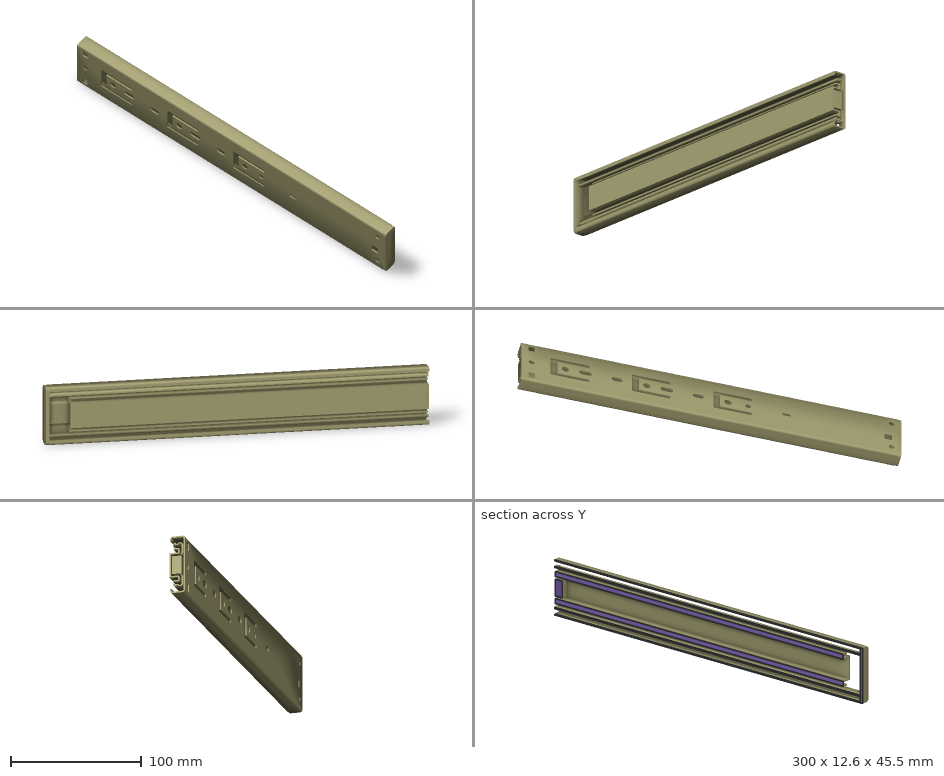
import cadquery as cq


slide_length = 300.0
slide_height = 45.5
front_y = -6.3
inner_back_y = 6.3

outer_back_y = 5.5
cap_thickness = 2.7
cap_corner_radius = 2.5
outer_length = slide_length - cap_thickness
outer_sheet = 1.2
outer_bend_radius = 1.8
outer_lip_z = 19.2

rail_gap = 0.3
middle_sheet = 1.05
middle_height = 35.5
middle_front_y = front_y + outer_sheet + rail_gap
middle_back_y = 3.3
middle_bend_radius = 2.25
middle_lip_z = 15.0
joggle_depth = 1.2
joggle_inner_z = 7.8
joggle_outer_z = 9.5
ball_groove_radius = 1.05
notch_end_x = 8.0

inner_start_x = 0.5
inner_end_x = 281.0
inner_sheet = 1.2
inner_web_z = 10.0
inner_foot_y = -1.8
inner_flange_z = 13.5
inner_flange_back_y = 3.0
inner_bend_radius = 1.0
block_height = 14.5
block_front_y = -3.3
block_back_y = 4.2

tab_pitch = 64.2
tab_count = 3
tab_start_x = 23.0
tab_end_x = 53.7
tab_half_height = 7.2
tab_gap_end = 5.5
tab_gap_side = 3.0
tab_corner_radius = 1.35
tab_hole_x = 34.8
tab_hole_diameter = 5.7
small_hole_diameter = 4.5
tab_slot_x = 50.7
tab_slot_length = 10.0
tab_slot_count = 2
tab_end_hole_x = 179.0
link_slot_x = 75.5
link_slot_length = 8.5
end_hole_x = 8.0
window_length = 4.5
window_height = 6.0
window_z = 16.5
mark_x = 209.5
mark_length = 6.3
mark_height = 2.7
mark_z = -1.0
square_x = 289.5
square_side = 6.0
square_z = -2.7
cap_hole_x = 292.2
cap_hole_z = 14.5


def block(x0, x1, y0, y1, z0, z1):
    """Box between two corners."""
    return cq.Workplane("XY").box(x1 - x0, y1 - y0, z1 - z0, centered=False).translate((x0, y0, z0))


def rounded_bar(x0, x1, y0, y1, height, radius):
    """Bar along X, centred on Z = 0, with its four long edges rounded."""
    bar = block(x0, x1, y0, y1, -height / 2, height / 2)
    return bar.edges("|X").fillet(radius)


def lipped_channel(length, y0, y1, height, sheet, radius, lip_z):
    """Bent-sheet channel with its web at y0 and lips at y1 that reach in to +-lip_z."""
    outside = rounded_bar(0, length, y0, y1, height, radius)
    inside = rounded_bar(0, length, y0 + sheet, y1 - sheet, height - 2 * sheet, radius - sheet)
    mouth = block(0, length, y1 - sheet, y1, -lip_z, lip_z)
    return outside.cut(inside).cut(mouth)


def web_plane(x, z):
    """Sketch plane on the front face of the outer web; its normal points out to -Y."""
    return cq.Workplane("XZ", origin=(0, front_y, 0)).center(x, z)


def tab_cutter(start_x):
    """U-shaped gap that leaves a tab joined to the web at its +X end."""
    length = tab_end_x - tab_start_x
    outer_half_height = tab_half_height + tab_gap_side
    middle_x = start_x + length / 2
    frame = web_plane(middle_x, 0).rect(length, 2 * outer_half_height).extrude(-outer_sheet)
    tab = web_plane(middle_x + tab_gap_end, 0).rect(length, 2 * tab_half_height).extrude(-outer_sheet)
    gap = frame.cut(tab)
    gap = gap.edges("|Y and <X").fillet(tab_corner_radius)
    return gap.edges("|Y and >X").fillet(tab_corner_radius)


def round_cutter(x, z, diameter):
    """Round hole through the outer web."""
    return web_plane(x, z).circle(diameter / 2).extrude(-outer_sheet)


def slot_cutter(x, length):
    """Round-ended slot through the outer web, along X."""
    return web_plane(x, 0).slot2D(length, small_hole_diameter).extrude(-outer_sheet)


def rectangle_cutter(x, z, length, height):
    """Rectangular hole through the outer web."""
    return web_plane(x, z).rect(length, height).extrude(-outer_sheet)


def make_outer_rail():
    """Lipped channel with the mounting tabs, slots and holes cut through its web."""
    rail = lipped_channel(
        outer_length, front_y, outer_back_y, slide_height, outer_sheet, outer_bend_radius, outer_lip_z
    )
    cutters = [
        round_cutter(end_hole_x, 0, small_hole_diameter),
        round_cutter(tab_end_hole_x, 0, small_hole_diameter),
        rectangle_cutter(mark_x, mark_z, mark_length, mark_height),
        rectangle_cutter(square_x, square_z, square_side, square_side),
    ]
    for i in range(tab_count):
        cutters.append(tab_cutter(tab_start_x + i * tab_pitch))
        cutters.append(round_cutter(tab_hole_x + i * tab_pitch, 0, tab_hole_diameter))
    for i in range(tab_slot_count):
        cutters.append(slot_cutter(tab_slot_x + i * tab_pitch, tab_slot_length))
        cutters.append(slot_cutter(link_slot_x + i * tab_pitch, link_slot_length))
    for side in (-1, 1):
        cutters.append(rectangle_cutter(end_hole_x, side * window_z, window_length, window_height))
        cutters.append(round_cutter(cap_hole_x, side * cap_hole_z, small_hole_diameter))
    for cutter in cutters:
        rail = rail.cut(cutter)
    return rail


def make_end_cap():
    """Plate that closes the +X end of the outer rail."""
    return rounded_bar(
        outer_length, slide_length, front_y, outer_back_y, slide_height, cap_corner_radius
    )


def joggled_web():
    """Middle part of the web, stepped back from the outer rail."""
    front = middle_front_y
    back = front + middle_sheet
    step = joggle_depth
    outline = [
        (front, -joggle_outer_z),
        (front + step, -joggle_inner_z),
        (front + step, joggle_inner_z),
        (front, joggle_outer_z),
        (back, joggle_outer_z),
        (back + step, joggle_inner_z),
        (back + step, -joggle_inner_z),
        (back, -joggle_outer_z),
    ]
    return cq.Workplane("YZ").polyline(outline).close().extrude(outer_length)


def make_middle_rail():
    """Smaller lipped channel with a stepped web and a ball groove in each flange."""
    rail = lipped_channel(
        outer_length, middle_front_y, middle_back_y, middle_height,
        middle_sheet, middle_bend_radius, middle_lip_z,
    )
    flat_web = block(
        0, outer_length, middle_front_y, middle_front_y + middle_sheet, -joggle_outer_z, joggle_outer_z
    )
    rail = rail.cut(flat_web).union(joggled_web())
    envelope = rounded_bar(
        0, outer_length, middle_front_y, middle_back_y, middle_height, middle_bend_radius
    )
    for side in (-1, 1):
        flange = cq.Workplane("YZ").center(0, side * middle_height / 2)
        bulge = flange.circle(ball_groove_radius + middle_sheet).extrude(outer_length)
        groove = flange.circle(ball_groove_radius).extrude(outer_length)
        rail = rail.union(bulge.intersect(envelope)).cut(groove)
    web_back_y = middle_front_y + joggle_depth + middle_sheet
    notch = block(0, notch_end_x, middle_front_y, web_back_y, -joggle_inner_z, joggle_inner_z)
    return rail.cut(notch)


def make_inner_rail():
    """Hat section: a web at the back, legs towards the front and flanges folded back."""
    leg_z = inner_web_z - inner_sheet
    foot_back_y = inner_foot_y + inner_sheet
    flange_in_z = inner_flange_z - inner_sheet
    web_in_y = inner_back_y - inner_sheet
    upper_half = [
        (inner_back_y, inner_web_z),
        (foot_back_y, inner_web_z),
        (foot_back_y, flange_in_z),
        (inner_flange_back_y, flange_in_z),
        (inner_flange_back_y, inner_flange_z),
        (inner_foot_y, inner_flange_z),
        (inner_foot_y, leg_z),
        (web_in_y, leg_z),
    ]
    lower_half = [(y, -z) for y, z in reversed(upper_half)]
    profile = cq.Workplane("YZ", origin=(inner_start_x, 0, 0)).polyline(upper_half + lower_half).close()
    rail = profile.extrude(inner_end_x - inner_start_x)
    fold_edges = cq.selectors.BoxSelector(
        (0, inner_foot_y - inner_bend_radius, -slide_height),
        (slide_length, inner_foot_y + inner_bend_radius, slide_height),
    )
    return rail.edges("|X").edges(fold_edges).fillet(inner_bend_radius)


def make_stop_block():
    """Stop inside the inner rail, resting against the notch of the middle rail."""
    return block(
        inner_start_x, notch_end_x, block_front_y, block_back_y, -block_height / 2, block_height / 2
    )


outer_rail = make_outer_rail()
end_cap = make_end_cap()
middle_rail = make_middle_rail()
inner_rail = make_inner_rail()
stop_block = make_stop_block()

result = cq.Compound.makeCompound(
    [outer_rail.val(), end_cap.val(), middle_rail.val(), inner_rail.val(), stop_block.val()]
)